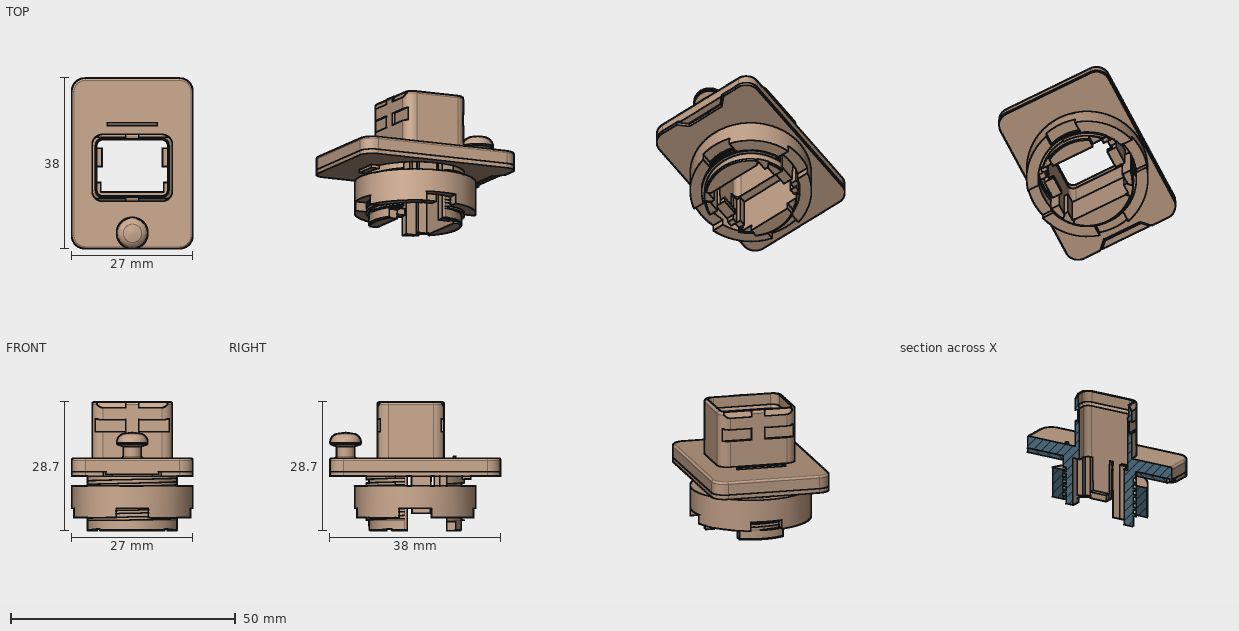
import cadquery as cq
import math

nut_bottom_z = 2.93
nut_top_z = 10.0
gasket_bottom_z = 12.2
plate_bottom_z = 13.2
plate_top_z = 16.2
tube_top_z = 28.7

plate_width = 27.0
plate_length = 38.0
plate_corner = 3.0
plate_edge_round = 0.5

tube_width = 17.9
tube_length = 14.9
tube_center_y = -1.0
tube_corner = 2.4
tube_edge_round = 0.55
bore_width = 15.8
bore_length = 12.5
bore_corner = 1.3
mouth_step = 0.28
mouth_depth = 2.5
mouth_taper_height = 0.8
tube_chamfer_height = 1.3
tube_chamfer_depth = 0.65
center_strip_width = 3.0
groove_end_x = 8.3
groove_depth = 0.65
groove_bottom_z = 22.1
groove_top_z = 24.74
groove_top_rise = 0.18

knob_center_y = -15.5
knob_head_radius = 3.5
knob_crown_radius = 2.05
knob_neck_radius = 2.05
knob_foot_round = 0.4
knob_neck_top_z = 18.75
knob_rim_bottom_z = 19.25
knob_equator_z = 19.6
knob_shoulder_z = 21.6
knob_top_z = 21.9

bar_width = 11.2
bar_length = 0.6
bar_height = 0.4
bar_center_y = 8.7
bar_front_round = 0.35

thread_crest_radius = 10.93
thread_root_radius = 10.3
thread_pitch = 1.5
thread_groove_height = 0.82
thread_turns = 7
thread_start_z = 0.9
thread_end_z = 2.35
skirt_chamfer = 0.3
skirt_half_width = 10.0
front_segment_y = -1.75
front_step_y = -4.2
front_inner_y = -6.33
front_inner_half_width = 6.97
back_segment_y = 7.0
back_tip_half_width = 5.0
back_tip_height = 2.0
tip_notch_width = 2.5
tip_notch_depth = 0.42

latch_inner_x = 7.9
latch_outer_x = 9.0
latch_center_y = 1.32
latch_root_length = 4.45
latch_tip_length = 4.1
latch_bottom_z = 3.92
catch_inner_x = 6.7
catch_height = 1.5
rib_front_y = 4.2
rib_step_y = 5.5
rib_outer_x = 9.4
rib_back_outer_x = 8.3
rib_back_inner_x = 6.9
lug_width = 6.0
lug_front_y = 9.5
lug_back_y = 12.4
lug_bottom_z = 11.5

tongue_half_width = 5.94
tongue_depth = 1.5
tongue_bottom_z = 12.6
gasket_notch_half_width = 6.48
gasket_notch_depth = 2.0

nut_radius = 13.5
nut_notch_width = 7.2
nut_notch_height = 2.07


def box(x0, x1, y0, y1, z0, z1):
    """Axis-aligned block between two opposite corners."""
    return cq.Workplane("XY").box(x1 - x0, y1 - y0, z1 - z0, centered=False).translate((x0, y0, z0))


def rounded_block(width, length, corner, center_y, z0, z1):
    """Upright block with rounded vertical edges, centred on X."""
    block = box(-width / 2, width / 2, center_y - length / 2, center_y + length / 2, z0, z1)
    return block.edges("|Z").fillet(corner)


def disc(radius, z0, z1):
    return cq.Workplane("XY").workplane(offset=z0).circle(radius).extrude(z1 - z0)


def front_trapezoid(half_width, depth, z0, z1):
    """Block at the front edge of the plate whose ends run inward at 45 degrees."""
    front_y = -plate_length / 2
    points = [
        (-half_width, front_y),
        (half_width, front_y),
        (half_width - depth, front_y + depth),
        (-half_width + depth, front_y + depth),
    ]
    return cq.Workplane("XY").workplane(offset=z0).polyline(points).close().extrude(z1 - z0)


def lug():
    """Locating lug behind the skirt, reaching down through the gasket."""
    return box(-lug_width / 2, lug_width / 2, lug_front_y, lug_back_y, lug_bottom_z, plate_bottom_z)


def plate():
    body = rounded_block(plate_width, plate_length, plate_corner, 0, plate_bottom_z, plate_top_z)
    return body.faces(">Z").edges().fillet(plate_edge_round)


def tube_face_cutter():
    """Chamfer wedges and grooves for the +Y face of the tube, on both sides of the centre strip."""
    face_y = tube_length / 2
    floor_y = face_y - groove_depth
    wedge = [
        (face_y, tube_top_z - tube_chamfer_height),
        (face_y, tube_top_z),
        (face_y - tube_chamfer_depth, tube_top_z),
    ]
    groove = [
        (face_y, groove_bottom_z),
        (face_y, groove_top_z),
        (floor_y, groove_top_z + groove_top_rise),
        (floor_y, groove_bottom_z),
    ]
    strip_x = center_strip_width / 2
    cutter = cq.Workplane("YZ").workplane(offset=strip_x).polyline(wedge).close()
    cutter = cutter.extrude(tube_width / 2 - strip_x)
    cutter = cutter.union(
        cq.Workplane("YZ").workplane(offset=strip_x).polyline(groove).close().extrude(groove_end_x - strip_x)
    )
    return cutter.union(cutter.mirror("YZ"))


def tube():
    body = rounded_block(tube_width, tube_length, tube_corner, 0, plate_bottom_z, tube_top_z)
    body = body.faces(">Z").edges().fillet(tube_edge_round)
    cutter = tube_face_cutter()
    body = body.cut(cutter).cut(cutter.mirror("XZ"))
    return body.translate((0, tube_center_y, 0))


def tube_bore():
    """Opening through tube and plate, widening in a short taper to the mouth."""
    ledge_z = tube_top_z - mouth_depth
    taper_z = ledge_z - mouth_taper_height
    bore = rounded_block(bore_width, bore_length, bore_corner, tube_center_y, plate_bottom_z, taper_z)
    mouth = rounded_block(
        bore_width + 2 * mouth_step,
        bore_length + 2 * mouth_step,
        bore_corner + mouth_step,
        tube_center_y,
        ledge_z,
        tube_top_z,
    )
    taper_angle = math.degrees(math.atan2(mouth_step, mouth_taper_height))
    taper = bore.faces(">Z").wires().toPending().workplane().extrude(
        mouth_taper_height, combine=False, taper=-taper_angle
    )
    return bore.union(taper).union(mouth)


def knob():
    foot_radius = knob_neck_radius + knob_foot_round
    bend = math.sqrt(0.5)
    foot_mid = (
        foot_radius - bend * knob_foot_round,
        plate_top_z + (1 - bend) * knob_foot_round,
    )
    arc_width = knob_head_radius - knob_crown_radius
    arc_height = knob_shoulder_z - knob_equator_z
    arc_radius = (arc_width**2 + arc_height**2) / (2 * arc_width)
    half_angle = math.asin(arc_height / arc_radius) / 2
    head_mid = (
        knob_head_radius - arc_radius * (1 - math.cos(half_angle)),
        knob_equator_z + arc_radius * math.sin(half_angle),
    )
    rim_radius = knob_head_radius - (knob_equator_z - knob_rim_bottom_z) / 2
    profile = (
        cq.Workplane("XZ")
        .moveTo(0, plate_bottom_z)
        .lineTo(foot_radius, plate_bottom_z)
        .lineTo(foot_radius, plate_top_z)
        .threePointArc(foot_mid, (knob_neck_radius, plate_top_z + knob_foot_round))
        .lineTo(knob_neck_radius, knob_neck_top_z)
        .lineTo(rim_radius, knob_rim_bottom_z)
        .lineTo(knob_head_radius, knob_equator_z)
        .threePointArc(head_mid, (knob_crown_radius, knob_shoulder_z))
        .lineTo(0, knob_top_z)
        .close()
    )
    return profile.revolve(360, (0, 0, 0), (0, 1, 0)).translate((0, knob_center_y, 0))


def raised_bar():
    half_width = bar_width / 2
    half_length = bar_length / 2
    bar = box(
        -half_width,
        half_width,
        bar_center_y - half_length,
        bar_center_y + half_length,
        plate_top_z,
        plate_top_z + bar_height,
    )
    return bar.faces(">Z").edges("<Y").fillet(bar_front_round)


def thread_groove():
    """Right-handed square groove cut into the outside of the skirt."""
    path = cq.Wire.makeHelix(thread_pitch, thread_pitch * thread_turns, thread_root_radius)
    groove_depth_past_crest = 2 * (thread_crest_radius - thread_root_radius)
    groove = (
        cq.Workplane("XZ")
        .center(thread_root_radius + groove_depth_past_crest / 2, 0)
        .rect(groove_depth_past_crest, thread_groove_height)
        .sweep(cq.Workplane(path), isFrenet=True)
    )
    return groove.translate((0, 0, thread_start_z))


def skirt():
    """Two threaded segments, front and back, cut from one threaded cylinder."""
    tip = disc(thread_root_radius, 0, thread_end_z).faces("<Z").chamfer(skirt_chamfer)
    threaded = disc(thread_crest_radius, thread_end_z, plate_bottom_z).cut(thread_groove())
    cylinder = tip.union(threaded)

    reach = thread_crest_radius
    half_bore = bore_width / 2
    front = box(-skirt_half_width, skirt_half_width, -reach, front_segment_y, 0, plate_bottom_z)
    front = front.cut(box(-half_bore, half_bore, front_step_y, 0, 0, plate_bottom_z))
    front = front.cut(
        box(-front_inner_half_width, front_inner_half_width, front_inner_y, 0, 0, plate_bottom_z)
    )
    for side in (-1, 1):
        front = front.cut(tip_notch(side))

    back = box(-reach, reach, back_segment_y, reach, back_tip_height, plate_bottom_z)
    back = back.union(
        box(-back_tip_half_width, back_tip_half_width, back_segment_y, reach, 0, back_tip_height)
    )
    return cylinder.intersect(front.union(back))


def tip_notch(side):
    """Radial notch in the lower rim, with one wall on the 45 degree line through the axis."""
    notch = box(0, thread_crest_radius, 0, tip_notch_width, 0, tip_notch_depth)
    notch = notch.rotate((0, 0, 0), (0, 0, 1), -45)
    return notch if side > 0 else notch.mirror("YZ")


def latch():
    """Tapered latch arm on the +X side, with a catch pointing inward at its tip."""
    half_root = latch_root_length / 2
    half_tip = latch_tip_length / 2
    points = [
        (latch_center_y - half_root, plate_bottom_z),
        (latch_center_y + half_root, plate_bottom_z),
        (latch_center_y + half_tip, latch_bottom_z),
        (latch_center_y - half_tip, latch_bottom_z),
    ]
    arm = cq.Workplane("YZ").workplane(offset=latch_inner_x).polyline(points).close()
    arm = arm.extrude(latch_outer_x - latch_inner_x)
    catch = box(
        catch_inner_x,
        latch_inner_x,
        latch_center_y - half_tip,
        latch_center_y + half_tip,
        latch_bottom_z,
        latch_bottom_z + catch_height,
    )
    return arm.union(catch)


def rib():
    """Stepped rib on the +X side, joining the back skirt segment."""
    outer = box(bore_width / 2, rib_outer_x, rib_front_y, rib_step_y, latch_bottom_z, plate_bottom_z)
    inner = box(
        rib_back_inner_x, rib_back_outer_x, rib_step_y, back_segment_y, latch_bottom_z, plate_bottom_z
    )
    return outer.union(inner)


def make_housing():
    body = plate().union(tube()).cut(tube_bore())
    body = body.union(knob()).union(raised_bar()).union(skirt())
    for feature in (latch(), rib()):
        body = body.union(feature).union(feature.mirror("YZ"))
    tongue = front_trapezoid(tongue_half_width, tongue_depth, tongue_bottom_z, plate_bottom_z)
    return body.union(lug()).union(tongue)


def make_gasket():
    """Flat seal under the plate, open around the skirt, the lug and the tongue."""
    body = rounded_block(plate_width, plate_length, plate_corner, 0, gasket_bottom_z, plate_bottom_z)
    body = body.cut(disc(thread_crest_radius, gasket_bottom_z, plate_bottom_z))
    body = body.cut(lug())
    return body.cut(
        front_trapezoid(gasket_notch_half_width, gasket_notch_depth, gasket_bottom_z, plate_bottom_z)
    )


def make_nut():
    """Ring nut with four spanner notches in its lower rim."""
    body = disc(nut_radius, nut_bottom_z, nut_top_z)
    body = body.cut(disc(thread_crest_radius, nut_bottom_z, nut_top_z))
    half_notch = nut_notch_width / 2
    notch_top_z = nut_bottom_z + nut_notch_height
    slot = box(-nut_radius, nut_radius, -half_notch, half_notch, nut_bottom_z, notch_top_z)
    for angle in (0, 90):
        body = body.cut(slot.rotate((0, 0, 0), (0, 0, 1), angle))
    return body


housing = make_housing()
gasket = make_gasket()
nut = make_nut()

result = cq.Compound.makeCompound([housing.val(), gasket.val(), nut.val()])